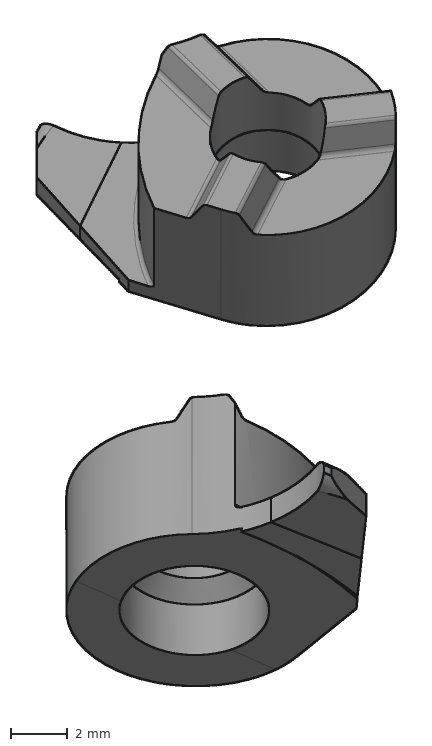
import cadquery as cq
import math


overall_length = 13.5
head_diameter = 9.0
head_radius = head_diameter / 2
land_height = 4.98
top_height = 6.01
relief_start_x = 1.08
relief_rise = 0.05

bore_radius = 2.04
seat_top = 2.94
seat_bottom = 2.23
counterbore_radius = 2.63

hollow_radius = 5.01
nose_x = head_radius - overall_length
nose_flat_y = 0.69
heel = (-8.15, -1.47)
arm_root = (-3.5, -head_radius)
hollow_start_angle = 142.4

mid_height = 0.39
half_thickness = 0.36
slope_x = -0.022
slope_y = 0.042
nose_round_x = -8.41
nose_round_y = 0.89
nose_shoulder = (-8.82, 0.42)
nose_flat_half = 0.18
tip_joint_x = -5.94

wall_start = (-4.65, 2.02)
wall_middle = (-4.32, -1.39)
wall_end = (-2.52, -head_radius)
wall_fillet = 0.16
wall_search = 1.08
step_start = (-4.86, 1.89)
step_middle = (-4.72, -1.08)
step_end = (-3.97, -4.21)

tooth_angles = (-90, 30, 150)
tooth_foot_half = 1.31
tooth_flank_low = (1.11, 5.13)
tooth_flank_high = (0.68, 5.93)
tooth_crest_half = 0.53
foot_bend = (1.19, 5.02)
crest_bend = (0.61, 5.98)

clearance = 13.5


def head_outline():
    """Round head that runs tangentially into the hollow back of the arm."""
    angle = math.radians(hollow_start_angle)
    rim_angle = (angle + math.pi / 2) / 2
    hollow_x = (head_radius + hollow_radius) * math.cos(angle)
    hollow_y = (head_radius + hollow_radius) * math.sin(angle)
    hollow_start = (head_radius * math.cos(angle), head_radius * math.sin(angle))
    nose_y = hollow_y - math.sqrt(hollow_radius**2 - (nose_x - hollow_x)**2)
    return (
        cq.Workplane("XY", origin=(0, 0, -clearance))
        .moveTo(0, -head_radius)
        .threePointArc((head_radius, 0), (0, head_radius))
        .threePointArc(
            (head_radius * math.cos(rim_angle), head_radius * math.sin(rim_angle)),
            hollow_start,
        )
        .threePointArc((hollow_x, hollow_y - hollow_radius), (nose_x, nose_y))
        .lineTo(nose_x, nose_flat_y)
        .lineTo(*heel)
        .lineTo(*arm_root)
        .close()
        .extrude(2 * clearance)
    )


def arm_half_space(side):
    """Space beyond the arm's upper (side = 1) or lower (side = -1) face."""
    normal = cq.Vector(-side * slope_x, -side * slope_y, 1).normalized() * side
    origin = (0, 0, mid_height + side * half_thickness)
    plane = cq.Plane(origin=origin, xDir=(1, 0, side * slope_x), normal=normal)
    return cq.Workplane(plane).rect(3 * clearance, 3 * clearance).extrude(2 * clearance)


def beyond_wall():
    """Space on the arm side of the curved head wall."""
    return (
        cq.Workplane("XY", origin=(0, 0, -clearance))
        .moveTo(*wall_start)
        .threePointArc(wall_middle, wall_end)
        .lineTo(wall_end[0], -clearance)
        .lineTo(-clearance, -clearance)
        .lineTo(-clearance, wall_start[1])
        .close()
        .extrude(2 * clearance)
    )


def beyond_step():
    """Space on the arm side of the step in the underside."""
    return (
        cq.Workplane("XY", origin=(0, 0, -clearance))
        .moveTo(*step_start)
        .threePointArc(step_middle, step_end)
        .lineTo(step_end[0], -clearance)
        .lineTo(-clearance, -clearance)
        .lineTo(-clearance, step_start[1])
        .close()
        .extrude(2 * clearance)
    )


def head_profile():
    """Front profile of the head: flat underside with a shallow relief to the right."""
    return (
        cq.Workplane("XZ", origin=(0, clearance, 0))
        .moveTo(-clearance, 0)
        .lineTo(relief_start_x, 0)
        .lineTo(head_radius, relief_rise)
        .lineTo(clearance, relief_rise)
        .lineTo(clearance, land_height)
        .lineTo(-clearance, land_height)
        .close()
        .extrude(2 * clearance)
    )


def tooth(angle):
    """Tooth that runs outward from the axis, with rounded crest and foot."""
    return (
        cq.Workplane("YZ")
        .moveTo(-tooth_foot_half, land_height)
        .threePointArc((-foot_bend[0], foot_bend[1]), (-tooth_flank_low[0], tooth_flank_low[1]))
        .lineTo(-tooth_flank_high[0], tooth_flank_high[1])
        .threePointArc((-crest_bend[0], crest_bend[1]), (-tooth_crest_half, top_height))
        .lineTo(tooth_crest_half, top_height)
        .threePointArc(crest_bend, tooth_flank_high)
        .lineTo(*tooth_flank_low)
        .threePointArc(foot_bend, (tooth_foot_half, land_height))
        .close()
        .extrude(clearance)
        .rotate((0, 0, 0), (0, 0, 1), angle)
    )


def nose_profile():
    """Front profile that rounds the nose of the arm above and below."""
    edge_half = half_thickness + slope_x * nose_round_x + slope_y * nose_round_y
    shoulder_x, shoulder_half = nose_shoulder
    return (
        cq.Workplane("XZ", origin=(0, clearance, 0))
        .moveTo(tip_joint_x, mid_height - clearance)
        .lineTo(nose_round_x, mid_height - clearance)
        .lineTo(nose_round_x, mid_height - edge_half)
        .threePointArc((shoulder_x, mid_height - shoulder_half), (nose_x, mid_height - nose_flat_half))
        .lineTo(nose_x, mid_height + nose_flat_half)
        .threePointArc((shoulder_x, mid_height + shoulder_half), (nose_round_x, mid_height + edge_half))
        .lineTo(nose_round_x, mid_height + clearance)
        .lineTo(tip_joint_x, mid_height + clearance)
        .close()
        .extrude(2 * clearance)
    )


def arm():
    """Tapered arm, from the nose to the step under the head."""
    return (
        head_outline()
        .intersect(beyond_step())
        .cut(arm_half_space(1))
        .cut(arm_half_space(-1))
    )


def screw_bore():
    """Bore that widens through a conical seat into a counterbore below."""
    return (
        cq.Workplane("XZ")
        .polyline([
            (0, -clearance),
            (counterbore_radius, -clearance),
            (counterbore_radius, seat_bottom),
            (bore_radius, seat_top),
            (bore_radius, clearance),
            (0, clearance),
        ])
        .close()
        .revolve(360, (0, 0, 0), (0, 1, 0))
    )


def make_holder():
    """Toothed head with the root of the arm."""
    solid = head_profile()
    for angle in tooth_angles:
        solid = solid.union(tooth(angle))
    solid = solid.intersect(head_outline())
    solid = solid.cut(beyond_step())
    solid = solid.cut(beyond_wall().intersect(arm_half_space(1)))
    solid = solid.union(arm())
    wall_foot = cq.selectors.BoxSelector(
        (wall_middle[0], wall_middle[1] - wall_search, mid_height),
        (wall_end[0], wall_middle[1] + wall_search, mid_height + 2 * half_thickness),
    )
    solid = solid.edges(wall_foot).fillet(wall_fillet)
    solid = solid.cut(screw_bore())
    joint = cq.Workplane("YZ", origin=(tip_joint_x, 0, 0)).rect(2 * clearance, 2 * clearance)
    return solid.intersect(joint.extrude(2 * clearance))


def make_cutting_tip():
    """Outer end of the arm, with its rounded nose."""
    return arm().intersect(nose_profile())


holder = make_holder()
cutting_tip = make_cutting_tip()

result = cq.Compound.makeCompound([holder.val(), cutting_tip.val()])